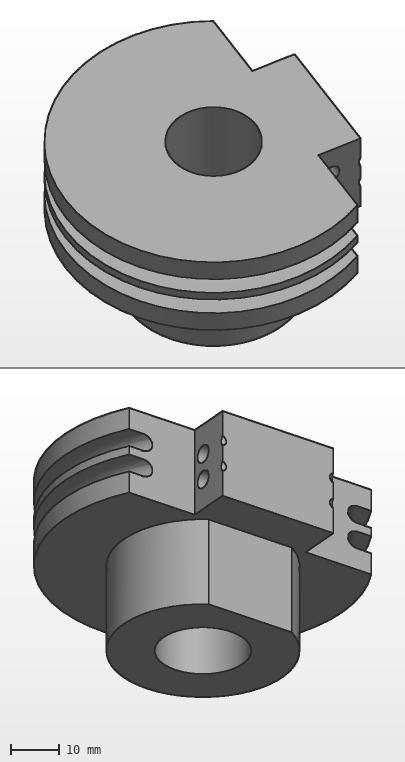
import cadquery as cq

disc_diameter = 70.0
disc_height = 20.0
hub_diameter = 40.0
hub_height = 20.0
bore_diameter = 20.0
flat_y = 17.0
tab_width = 28.0
tab_length = 10.0
groove_width = 4.0
groove_depth = 5.0
groove_spacing = 6.0
cord_hole_diameter = 4.0
cord_hole_inset = 3.0
cutter_clearance = 1.0

disc_radius = disc_diameter / 2
hub_radius = hub_diameter / 2
bore_radius = bore_diameter / 2
total_height = hub_height + disc_height
disc_mid_z = hub_height + disc_height / 2
groove_levels = [disc_mid_z - groove_spacing / 2, disc_mid_z + groove_spacing / 2]


def make_round_body():
    """Disc and hub with the bore, revolved from the half section on the -X side."""
    section = (
        cq.Workplane("XZ")
        .moveTo(-bore_radius, 0)
        .lineTo(-hub_radius, 0)
        .lineTo(-hub_radius, hub_height)
        .lineTo(-disc_radius, hub_height)
        .lineTo(-disc_radius, total_height)
        .lineTo(-bore_radius, total_height)
        .close()
    )
    return section.revolve(360, (0, 0, 0), (0, 1, 0))


def make_flat_cutter():
    """Block that removes everything beyond the flat, on disc and hub alike."""
    return cq.Workplane("XY").box(
        disc_diameter, disc_radius, total_height, centered=(True, False, False)
    ).translate((0, flat_y, 0))


def make_tab():
    """Rectangular tab on the flat, as thick as the disc."""
    return cq.Workplane("XY").box(
        tab_width, tab_length, disc_height, centered=(True, False, False)
    ).translate((0, flat_y, hub_height))


def make_groove_cutter(level):
    """Ring with a half-round inner edge; it also nicks the outer corners of the tab."""
    floor_radius = groove_width / 2
    floor_x = -(disc_radius - groove_depth)
    round_start_x = floor_x - floor_radius
    outer_x = -(disc_radius + cutter_clearance)
    section = (
        cq.Workplane("XZ")
        .moveTo(outer_x, level - floor_radius)
        .lineTo(round_start_x, level - floor_radius)
        .threePointArc((floor_x, level), (round_start_x, level + floor_radius))
        .lineTo(outer_x, level + floor_radius)
        .close()
    )
    return section.revolve(360, (0, 0, 0), (0, 1, 0))


def make_cord_hole(level):
    """Hole along X through the full width of the tab."""
    return (
        cq.Workplane("YZ")
        .center(flat_y + cord_hole_inset, level)
        .circle(cord_hole_diameter / 2)
        .extrude(tab_width, both=True)
    )


result = make_round_body().cut(make_flat_cutter()).union(make_tab())
for groove_level in groove_levels:
    result = result.cut(make_groove_cutter(groove_level))
    result = result.cut(make_cord_hole(groove_level))